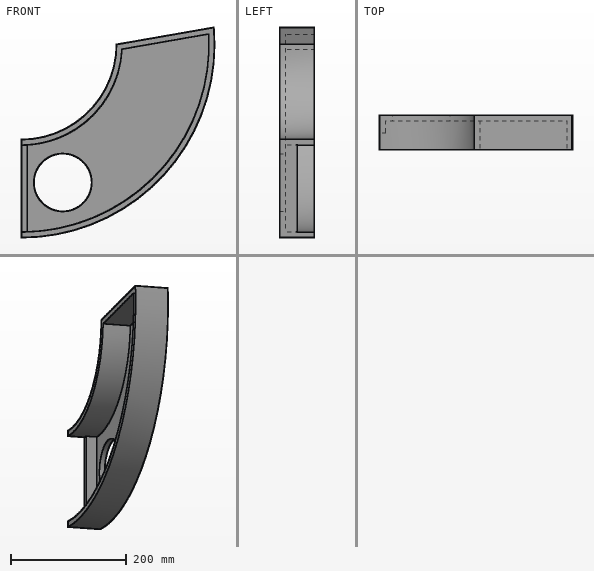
import cadquery as cq
import math

total_height = 364.7
depth = 60.0
outer_radius = 335.2
inner_radius = 165.0
wall = 10.0
floor_thickness = 10.0
low_wall_depth = depth / 2
hole_diameter = 100.0
hole_x = 72.0

corner_z = total_height - outer_radius
corner_x = math.sqrt(outer_radius**2 - corner_z**2)
slope = math.atan2(corner_z, corner_x - inner_radius)

middle_radius = (outer_radius + inner_radius) / 2
hole_z = -math.sqrt(middle_radius**2 - hole_x**2)


def on_slope(radius, offset):
    """Point at a radius from the arc centre, on the sloped edge shifted inward by offset."""
    center_distance = inner_radius * math.sin(slope) + offset
    along = math.sqrt(radius**2 - center_distance**2)
    x = along * math.cos(slope) + center_distance * math.sin(slope)
    z = along * math.sin(slope) - center_distance * math.cos(slope)
    return x, z


def arc_middle(radius, start_x, end):
    """Point halfway along an arc from start_x at the bottom to the end point."""
    start_angle = -math.acos(start_x / radius)
    end_angle = math.atan2(end[1], end[0])
    angle = (start_angle + end_angle) / 2
    return radius * math.cos(angle), radius * math.sin(angle)


def bottom_point(radius, x):
    return x, -math.sqrt(radius**2 - x**2)


def sector(small_radius, large_radius, left_x, slope_offset, back_y, length):
    """Curved plate extruded from back_y toward -Y."""
    large_end = on_slope(large_radius, slope_offset)
    small_end = on_slope(small_radius, slope_offset)
    return (
        cq.Workplane("XZ", origin=(0, back_y, 0))
        .moveTo(*bottom_point(large_radius, left_x))
        .threePointArc(arc_middle(large_radius, left_x, large_end), large_end)
        .lineTo(*small_end)
        .threePointArc(arc_middle(small_radius, left_x, small_end), bottom_point(small_radius, left_x))
        .close()
        .extrude(length)
    )


pocket_inner_radius = inner_radius + wall
pocket_outer_radius = outer_radius - wall

body = sector(inner_radius, outer_radius, 0, 0, depth, depth)

pocket = sector(
    pocket_inner_radius, pocket_outer_radius, wall, wall, depth - floor_thickness, depth - floor_thickness
)
opening_depth = depth - low_wall_depth
opening = sector(pocket_inner_radius, pocket_outer_radius, 0, wall, opening_depth, opening_depth)

hole = (
    cq.Workplane("XZ", origin=(0, depth, 0))
    .center(hole_x, hole_z)
    .circle(hole_diameter / 2)
    .extrude(depth)
)

result = body.cut(pocket).cut(opening).cut(hole)